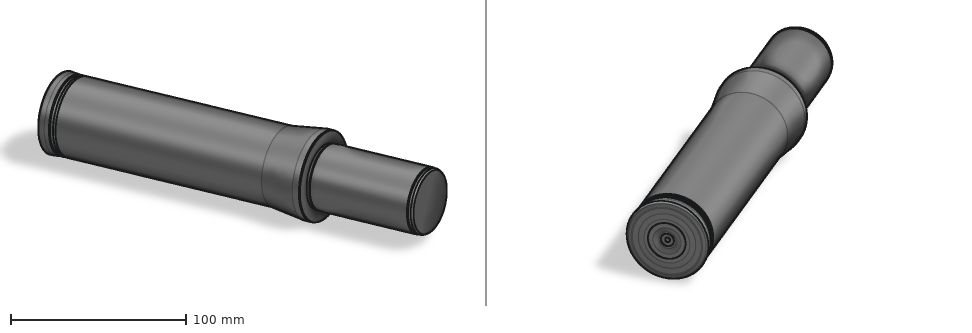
import cadquery as cq

total_length = 246.0
housing_length = 175.6

barrel_radius = 48.0 / 2
collar_radius = 54.0 / 2
flare_start = 148.3
flare_end = 170.5
collar_chamfer_length = 0.7
collar_chamfer_depth = 0.2

face_edge_radius = 20.7
face_rim_radius = 21.5
nose_bevel_length = 0.5
nose_bevel_radius = 23.4
nose_round_end = 1.5
nose_round_radius = 2.0
nose_radius = 24.5
nose_taper_end = 5.0
nose_taper_radius = 24.4
first_groove_start = 7.9
first_groove_width = 0.7
second_groove_start = 10.5
second_groove_width = 1.7
groove_depth = 0.2

dish_bottom_radius = 17.2
dish_inner_radius = 13.8
dish_depth = 0.2
land_radius = 11.3
step_depth = 0.2
recess_radius = 8.4
recess_floor_radius = 5.2
recess_depth = 1.0
floor_step_radius = 4.0
centre_mark_radius = 1.5

rod_radius = 39.5 / 2
rod_relief_radius = 39.0 / 2
neck_length = 1.7
shoulder_length = 0.7
end_relief_length = 3.2
end_chamfer_length = 1.5
end_chamfer_depth = 0.7


def revolve_about_x(profile):
    """Turn a closed XY profile, with Y as radius, into a solid about X."""
    return profile.close().revolve(360, (0, 0, 0), (1, 0, 0))


def make_housing():
    recess_floor = step_depth + recess_depth
    first_groove_end = first_groove_start + first_groove_width
    second_groove_end = second_groove_start + second_groove_width
    groove_radius = barrel_radius - groove_depth
    profile = (
        cq.Workplane("XY")
        .moveTo(recess_floor + 2 * step_depth, 0)
        .lineTo(recess_floor + 2 * step_depth, centre_mark_radius)
        .lineTo(recess_floor + step_depth, centre_mark_radius)
        .lineTo(recess_floor + step_depth, floor_step_radius)
        .lineTo(recess_floor, floor_step_radius)
        .lineTo(recess_floor, recess_floor_radius)
        .lineTo(step_depth, recess_radius)
        .lineTo(step_depth, land_radius)
        .lineTo(0, land_radius)
        .lineTo(0, dish_inner_radius)
        .lineTo(dish_depth, dish_bottom_radius)
        .lineTo(0, face_edge_radius)
        .lineTo(0, face_rim_radius)
        .lineTo(nose_bevel_length, nose_bevel_radius)
        .radiusArc((nose_round_end, nose_radius), nose_round_radius)
        .lineTo(nose_taper_end, nose_taper_radius)
        .lineTo(first_groove_start, barrel_radius)
        .lineTo(first_groove_start, groove_radius)
        .lineTo(first_groove_end, groove_radius)
        .lineTo(first_groove_end, barrel_radius)
        .lineTo(second_groove_start, barrel_radius)
        .lineTo(second_groove_start, groove_radius)
        .lineTo(second_groove_end, groove_radius)
        .lineTo(second_groove_end, barrel_radius)
        .lineTo(flare_start, barrel_radius)
        .lineTo(flare_end, collar_radius)
        .lineTo(housing_length - collar_chamfer_length, collar_radius)
        .lineTo(housing_length, collar_radius - collar_chamfer_depth)
        .lineTo(housing_length, 0)
    )
    return revolve_about_x(profile)


def make_rod():
    neck_end = housing_length + neck_length
    relief_start = total_length - end_relief_length
    profile = (
        cq.Workplane("XY")
        .moveTo(housing_length, 0)
        .lineTo(housing_length, rod_relief_radius)
        .lineTo(neck_end, rod_relief_radius)
        .lineTo(neck_end + shoulder_length, rod_radius)
        .lineTo(relief_start - shoulder_length, rod_radius)
        .lineTo(relief_start, rod_relief_radius)
        .lineTo(total_length - end_chamfer_length, rod_relief_radius)
        .lineTo(total_length, rod_relief_radius - end_chamfer_depth)
        .lineTo(total_length, 0)
    )
    return revolve_about_x(profile)


housing = make_housing()
rod = make_rod()
result = cq.Compound.makeCompound([housing.val(), rod.val()])